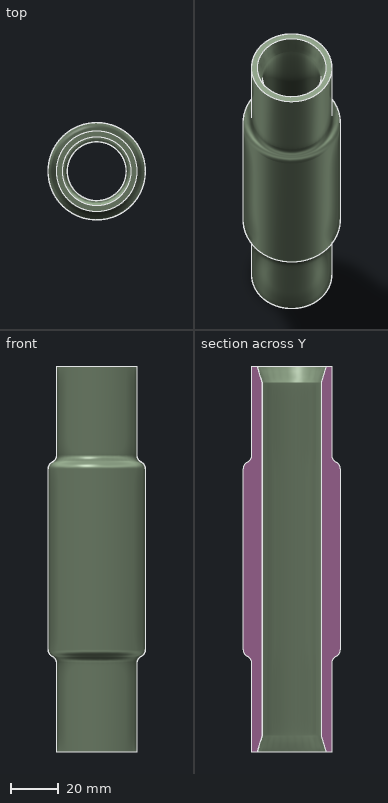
import cadquery as cq
import math

total_length = 162.0
body_diameter = 41.0
neck_diameter = 33.9
bore_diameter = 24.6
mouth_diameter = 28.8

neck_length = 37.3
shoulder_length = 5.8
mouth_depth = 7.0

body_radius = body_diameter / 2
neck_radius = neck_diameter / 2
bore_radius = bore_diameter / 2
mouth_radius = mouth_diameter / 2

half_length = total_length / 2
neck_root_z = half_length - neck_length
body_end_z = neck_root_z - shoulder_length

shoulder_mid_radius = (body_radius + neck_radius) / 2
shoulder_mid_z = (neck_root_z + body_end_z) / 2
arc_rise = body_radius - shoulder_mid_radius
arc_run = shoulder_mid_z - body_end_z
shoulder_arc_radius = (arc_rise**2 + arc_run**2) / (2 * arc_rise)
shoulder_sweep = math.asin(arc_run / shoulder_arc_radius)
shoulder_sag = shoulder_arc_radius * (1 - math.cos(shoulder_sweep / 2))
shoulder_half_rise = shoulder_arc_radius * math.sin(shoulder_sweep / 2)

convex_radius = body_radius - shoulder_sag
convex_z = body_end_z + shoulder_half_rise
concave_radius = neck_radius + shoulder_sag
concave_z = neck_root_z - shoulder_half_rise


def make_tube():
    """Revolve the outside profile about Z, with a shoulder between the body and each neck."""
    profile = (
        cq.Workplane("XZ")
        .moveTo(0, -half_length)
        .lineTo(neck_radius, -half_length)
        .lineTo(neck_radius, -neck_root_z)
        .threePointArc((concave_radius, -concave_z), (shoulder_mid_radius, -shoulder_mid_z))
        .threePointArc((convex_radius, -convex_z), (body_radius, -body_end_z))
        .lineTo(body_radius, body_end_z)
        .threePointArc((convex_radius, convex_z), (shoulder_mid_radius, shoulder_mid_z))
        .threePointArc((concave_radius, concave_z), (neck_radius, neck_root_z))
        .lineTo(neck_radius, half_length)
        .lineTo(0, half_length)
        .close()
    )
    return profile.revolve(360, (0, 0, 0), (0, 1, 0))


def make_bore():
    """Revolve the through bore about Z, with a cone widening it to the mouth at each end."""
    mouth_root_z = half_length - mouth_depth
    profile = (
        cq.Workplane("XZ")
        .moveTo(0, -half_length)
        .lineTo(mouth_radius, -half_length)
        .lineTo(bore_radius, -mouth_root_z)
        .lineTo(bore_radius, mouth_root_z)
        .lineTo(mouth_radius, half_length)
        .lineTo(0, half_length)
        .close()
    )
    return profile.revolve(360, (0, 0, 0), (0, 1, 0))


result = make_tube().cut(make_bore())